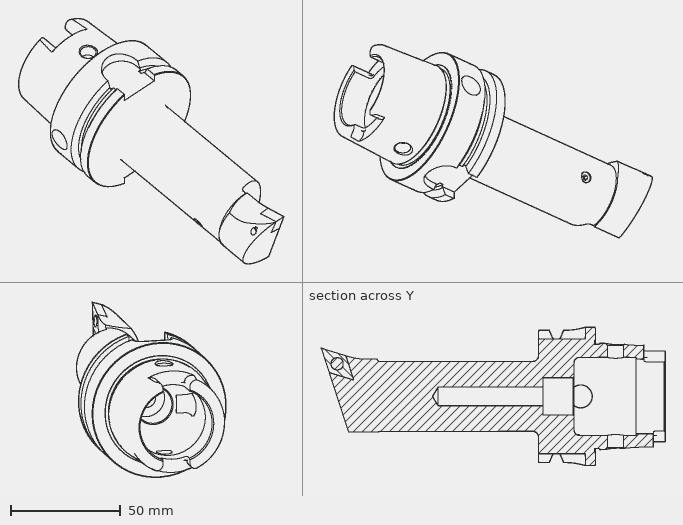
import cadquery as cq
import math

LENGTH = 156.9

TAPER_R_REAR = 22.9
TAPER_R_FRONT = 24.3
TAPER_END_X = 29.8
REAR_ROUND = 1.3
NECK_R = 23.8
FACE_RELIEF_R = 25.4
FACE_RELIEF_DEPTH = 0.5

FLANGE_X = 31.9
FLANGE_END_X = 57.9
FLANGE_R = 31.5
FLANGE_EDGE = 0.3
GROOVE_X = 46.5
GROOVE_WIDTH = 6.5
GROOVE_FLANK = 1.4
GROOVE_FLANK_R = 28.2
GROOVE_FLOOR_INSET = 2.4
GROOVE_FLOOR_R = 27.3
KEYWAY_R = 9.1
KEYWAY_CENTRE_X = 45.7
KEYWAY_FLOOR = 26.2

BAR_R = 16.0
BAR_END_X = 130.4
BAR_BLEND_R = 2.5

MOUTH_R = 17.0
MOUTH_CHAMFER = 0.6
MOUTH_LENGTH = 13.3
BORE_R = 17.7
BORE_END_X = 41.6
BORE_CORNER_R = 2.4
TAPPED_R = 8.5
TAPPED_CHAMFER = 0.5
TAPPED_DEPTH = 14.1
COOLANT_R = 4.2
COOLANT_END_X = 103.5
COOLANT_TIP_LENGTH = 2.5
OUTLET_R = 1.1
OUTLET_ANGLE = 18.0
OUTLET_LENGTH = 31.4

SLOT_HALF_WIDTH = 6.3
SLOT_FLARE_HALF_WIDTH = 9.3
SLOT_FLARE_END = 20.7
SLOT_RELIEF_HALF_WIDTH = 11.8
SLOT_CORNER_R = 1.4
SLOT_DEPTH_TOP = 9.9
SLOT_DEPTH_BOTTOM = 5.5

CROSS_HOLE_X = 22.8
CROSS_HOLE_R = 3.6
CROSS_HOLE_CHAMFER = 0.8
ACCESS_HOLE_X = 38.6
ACCESS_HOLE_R = 5.2
ACCESS_HOLE_FLOOR = 10.5

HEAD_UPPER_R = 20.7
HEAD_LOWER_R = 16.5
HEAD_SIDE = 16.5
HEAD_FLAT_TOP = 2.0
HEAD_FLAT_BOTTOM = 0.2
HEAD_TOP = 17.1
HEAD_BEND_X = 140.6
HEAD_BEND_R = 26.7
TIP_RISE_ANGLE = 17.0
INSERT_ANGLE = 55.0
TOP_CLEARANCE_ANGLE = 12.5
END_CLEARANCE_ANGLE = 6.7
HEAD_DEPTH_ABOVE_TIP = 3.1
TIP_Z = HEAD_TOP + (LENGTH - HEAD_BEND_X) * math.tan(math.radians(TIP_RISE_ANGLE))
END_ANGLE = TIP_RISE_ANGLE + INSERT_ANGLE

RAKE_TILT_ANGLE = 2.8
GULLET_FOOT_X = 127.4
GULLET_WALL_ANGLE = 16.5
GULLET_CORNER_R = 2.4

INSERT_SIDE = 11.6
INSERT_THICKNESS = 4.1
SCREW_R = 1.4
SCREW_HEAD_R = 2.7
SCREW_HEAD_HEIGHT = 1.9
SCREW_LENGTH = 10.2

SET_SCREW_X = 114.5
SET_SCREW_ANGLE = 22.5
SET_SCREW_R = 2.5
SET_SCREW_DEPTH = 6.3
SET_SCREW_RECESS = 0.8
SET_SCREW_HEX = 2.5
SET_SCREW_HEX_DEPTH = 2.4

CLEAR = 47.0


def revolve_about_x(profile):
    """Revolve a closed profile drawn as (x, radius) about the X axis."""
    return profile.close().revolve(360, (0, 0, 0), (1, 0, 0))


def oblique_prism(outline, direction):
    """Sweep a closed planar outline in a straight line along the given vector."""
    return cq.Workplane(cq.Solid.extrudeLinear(outline.val(), [], cq.Vector(*direction)))


def at_x(x, y=0.0, z=0.0):
    """Workplane facing +X whose local axes are Y and Z."""
    return cq.Workplane("YZ", origin=(x, y, z))


def turned_body():
    groove_end = GROOVE_X + GROOVE_WIDTH
    profile = (
        cq.Workplane("XY")
        .moveTo(0, 0)
        .lineTo(0, TAPER_R_REAR - REAR_ROUND)
        .radiusArc((REAR_ROUND, TAPER_R_REAR), REAR_ROUND)
        .lineTo(TAPER_END_X, TAPER_R_FRONT)
        .lineTo(TAPER_END_X + FACE_RELIEF_DEPTH, NECK_R)
        .lineTo(FLANGE_X + FACE_RELIEF_DEPTH, NECK_R)
        .lineTo(FLANGE_X + FACE_RELIEF_DEPTH, FACE_RELIEF_R)
        .lineTo(FLANGE_X, FACE_RELIEF_R)
        .lineTo(FLANGE_X, FLANGE_R - FLANGE_EDGE)
        .lineTo(FLANGE_X + FLANGE_EDGE, FLANGE_R)
        .lineTo(GROOVE_X, FLANGE_R)
        .lineTo(GROOVE_X + GROOVE_FLANK, GROOVE_FLANK_R)
        .lineTo(GROOVE_X + GROOVE_FLOOR_INSET, GROOVE_FLOOR_R)
        .lineTo(groove_end - GROOVE_FLOOR_INSET, GROOVE_FLOOR_R)
        .lineTo(groove_end - GROOVE_FLANK, GROOVE_FLANK_R)
        .lineTo(groove_end, FLANGE_R)
        .lineTo(FLANGE_END_X - FLANGE_EDGE, FLANGE_R)
        .lineTo(FLANGE_END_X, FLANGE_R - FLANGE_EDGE)
        .lineTo(FLANGE_END_X, BAR_R + BAR_BLEND_R)
        .radiusArc((FLANGE_END_X + BAR_BLEND_R, BAR_R), -BAR_BLEND_R)
        .lineTo(BAR_END_X, BAR_R)
        .lineTo(BAR_END_X, 0)
    )
    return revolve_about_x(profile)


def bore():
    tapped_end = BORE_END_X + TAPPED_DEPTH
    profile = (
        cq.Workplane("XY")
        .moveTo(0, 0)
        .lineTo(0, MOUTH_R + MOUTH_CHAMFER)
        .lineTo(MOUTH_CHAMFER, MOUTH_R)
        .lineTo(MOUTH_LENGTH, MOUTH_R)
        .lineTo(MOUTH_LENGTH, BORE_R)
        .lineTo(BORE_END_X - BORE_CORNER_R, BORE_R)
        .radiusArc((BORE_END_X, BORE_R - BORE_CORNER_R), BORE_CORNER_R)
        .lineTo(BORE_END_X, TAPPED_R + TAPPED_CHAMFER)
        .lineTo(BORE_END_X + TAPPED_CHAMFER, TAPPED_R)
        .lineTo(tapped_end, TAPPED_R)
        .lineTo(tapped_end, COOLANT_R)
        .lineTo(COOLANT_END_X, COOLANT_R)
        .lineTo(COOLANT_END_X + COOLANT_TIP_LENGTH, 0)
    )
    return revolve_about_x(profile)


def coolant_outlet():
    """Small angled hole from the tip of the coolant passage to the gullet."""
    angle = math.radians(OUTLET_ANGLE)
    axis = cq.Vector(math.cos(angle), math.sin(angle), 0)
    start = cq.Vector(COOLANT_END_X, OUTLET_R, 0)
    return cq.Workplane(cq.Solid.makeCylinder(OUTLET_R, OUTLET_LENGTH, start, axis))


def drive_slot(depth, side):
    """Rear slot with rounded bottom corners and rounded-off outer edges; side is +1 or -1 in Z."""
    flare_r = SLOT_FLARE_HALF_WIDTH - SLOT_HALF_WIDTH
    flare_start = SLOT_FLARE_END - flare_r
    channel = (
        cq.Workplane("XY")
        .rect(2 * depth, 2 * SLOT_HALF_WIDTH)
        .extrude(side * CLEAR)
        .edges("|Z and >X")
        .fillet(SLOT_CORNER_R)
    )
    flare = (
        at_x(0)
        .moveTo(-SLOT_HALF_WIDTH, side * flare_start)
        .radiusArc((-SLOT_FLARE_HALF_WIDTH, side * SLOT_FLARE_END), -side * flare_r)
        .lineTo(-SLOT_RELIEF_HALF_WIDTH, side * SLOT_FLARE_END)
        .lineTo(-SLOT_RELIEF_HALF_WIDTH, side * CLEAR)
        .lineTo(SLOT_RELIEF_HALF_WIDTH, side * CLEAR)
        .lineTo(SLOT_RELIEF_HALF_WIDTH, side * SLOT_FLARE_END)
        .lineTo(SLOT_FLARE_HALF_WIDTH, side * SLOT_FLARE_END)
        .radiusArc((SLOT_HALF_WIDTH, side * flare_start), -side * flare_r)
        .close()
        .extrude(depth)
    )
    return channel.union(flare)


def keyway(side):
    """Round-ended flat across the flange; side is +1 or -1 in Z."""
    return (
        cq.Workplane("XY", origin=(0, 0, side * KEYWAY_FLOOR))
        .moveTo(FLANGE_END_X, -KEYWAY_R)
        .lineTo(KEYWAY_CENTRE_X, -KEYWAY_R)
        .threePointArc((KEYWAY_CENTRE_X - KEYWAY_R, 0), (KEYWAY_CENTRE_X, KEYWAY_R))
        .lineTo(FLANGE_END_X, KEYWAY_R)
        .close()
        .extrude(side * CLEAR)
    )


def cross_hole():
    """Hole through both walls of the taper, with countersunk outer edges."""
    hole = cq.Workplane("XY", origin=(CROSS_HOLE_X, 0, -CLEAR)).circle(CROSS_HOLE_R).extrude(2 * CLEAR)
    surface_r = TAPER_R_REAR + (TAPER_R_FRONT - TAPER_R_REAR) * CROSS_HOLE_X / TAPER_END_X
    for side in (1, -1):
        cone = cq.Solid.makeCone(
            CROSS_HOLE_R,
            CROSS_HOLE_R + 2 * CROSS_HOLE_CHAMFER,
            2 * CROSS_HOLE_CHAMFER,
            cq.Vector(CROSS_HOLE_X, 0, side * (surface_r - CROSS_HOLE_CHAMFER)),
            cq.Vector(0, 0, side),
        )
        hole = hole.union(cq.Workplane(cone))
    return hole


def access_hole():
    return (
        cq.Workplane("XZ", origin=(ACCESS_HOLE_X, -ACCESS_HOLE_FLOOR, 0))
        .circle(ACCESS_HOLE_R)
        .extrude(CLEAR)
    )


def head_section():
    """Cross-section of the head: two side arcs joined by a short flat, run along X."""
    upper_y = HEAD_UPPER_R - HEAD_SIDE
    lower_y = HEAD_LOWER_R - HEAD_SIDE
    diagonal = math.sqrt(0.5)
    return (
        at_x(BAR_END_X)
        .moveTo(upper_y, HEAD_FLAT_TOP + HEAD_UPPER_R)
        .threePointArc(
            (upper_y - diagonal * HEAD_UPPER_R, HEAD_FLAT_TOP + diagonal * HEAD_UPPER_R),
            (-HEAD_SIDE, HEAD_FLAT_TOP),
        )
        .lineTo(-HEAD_SIDE, HEAD_FLAT_BOTTOM)
        .threePointArc(
            (lower_y - diagonal * HEAD_LOWER_R, HEAD_FLAT_BOTTOM - diagonal * HEAD_LOWER_R),
            (lower_y, HEAD_FLAT_BOTTOM - HEAD_LOWER_R),
        )
        .lineTo(upper_y, HEAD_FLAT_BOTTOM - HEAD_LOWER_R)
        .close()
        .extrude(LENGTH - BAR_END_X)
    )


def head_shoulder_cone():
    """45 degree cone that blends the bar into the wider head."""
    head_length = LENGTH - BAR_END_X
    return cq.Workplane(
        cq.Solid.makeCone(
            BAR_R, BAR_R + head_length, head_length, cq.Vector(BAR_END_X, 0, 0), cq.Vector(1, 0, 0)
        )
    )


def head_side_outline():
    """XZ outline of the head: bent top edge rising to the tip, open towards the end."""
    rise = math.radians(TIP_RISE_ANGLE)
    tangent = HEAD_BEND_R * math.tan(rise / 2)
    bend_end = (HEAD_BEND_X + tangent * math.cos(rise), HEAD_TOP + tangent * math.sin(rise))
    return (
        cq.Workplane("XZ")
        .moveTo(BAR_END_X, -CLEAR)
        .lineTo(BAR_END_X, HEAD_TOP)
        .lineTo(HEAD_BEND_X - tangent, HEAD_TOP)
        .radiusArc(bend_end, -HEAD_BEND_R)
        .lineTo(LENGTH, TIP_Z)
        .lineTo(LENGTH, -CLEAR)
        .close()
    )


def head_end_outline():
    """XZ outline of everything behind the slanted end face."""
    run = (TIP_Z + CLEAR) / math.tan(math.radians(END_ANGLE))
    return (
        cq.Workplane("XZ")
        .moveTo(LENGTH, TIP_Z)
        .lineTo(LENGTH - run, -CLEAR)
        .lineTo(BAR_END_X - CLEAR, -CLEAR)
        .lineTo(BAR_END_X - CLEAR, TIP_Z)
        .close()
    )


def gullet():
    """Chip space on the +Y side; its floor is the rake plane, tilted about X through the cutting tip."""
    wall_top_x = GULLET_FOOT_X - CLEAR * math.tan(math.radians(GULLET_WALL_ANGLE))
    outline = (
        cq.Workplane("XY", origin=(0, 0, TIP_Z))
        .moveTo(wall_top_x, CLEAR)
        .lineTo(GULLET_FOOT_X, 0)
        .lineTo(LENGTH, 0)
        .lineTo(LENGTH, CLEAR)
        .close()
    )
    depth = TIP_Z + CLEAR
    space = oblique_prism(outline, (0, depth * math.tan(math.radians(RAKE_TILT_ANGLE)), -depth))
    foot_edge = cq.selectors.NearestToPointSelector((GULLET_FOOT_X, 0, 0))
    return space.edges(foot_edge).fillet(GULLET_CORNER_R)


def head_blank():
    """Head with its clearances and rake face, before the insert seat is cut."""
    top_drop = CLEAR * math.tan(math.radians(TOP_CLEARANCE_ANGLE))
    end_setback = CLEAR * math.tan(math.radians(END_CLEARANCE_ANGLE))
    below = oblique_prism(head_side_outline(), (0, -CLEAR, -top_drop))
    below = below.intersect(oblique_prism(head_end_outline(), (-end_setback, -CLEAR, 0)))
    above = oblique_prism(head_side_outline(), (0, HEAD_DEPTH_ABOVE_TIP, 0))
    above = above.intersect(oblique_prism(head_end_outline(), (0, HEAD_DEPTH_ABOVE_TIP, 0)))
    head = head_section().intersect(head_shoulder_cone()).intersect(below.union(above))
    return head.cut(gullet())


def insert_corners():
    """XZ corners of the rhombic insert, starting at the cutting tip."""
    rise = math.radians(TIP_RISE_ANGLE)
    end = math.radians(END_ANGLE)
    back_x, back_z = INSERT_SIDE * math.cos(rise), INSERT_SIDE * math.sin(rise)
    down_x, down_z = INSERT_SIDE * math.cos(end), INSERT_SIDE * math.sin(end)
    return [
        (LENGTH, TIP_Z),
        (LENGTH - back_x, TIP_Z - back_z),
        (LENGTH - back_x - down_x, TIP_Z - back_z - down_z),
        (LENGTH - down_x, TIP_Z - down_z),
    ]


def insert_column():
    """Rhombic prism from the insert seat out past the rake face."""
    return (
        cq.Workplane("XZ", origin=(0, -INSERT_THICKNESS, 0))
        .polyline(insert_corners())
        .close()
        .extrude(-INSERT_THICKNESS - HEAD_DEPTH_ABOVE_TIP)
    )


def insert_centre():
    tip, _, opposite, _ = insert_corners()
    return (tip[0] + opposite[0]) / 2, (tip[1] + opposite[1]) / 2


def make_insert_screw():
    """Countersunk screw trimmed flush with the rake face."""
    x, z = insert_centre()
    axis = cq.Workplane("XZ", origin=(x, 0, z))
    countersink = cq.Solid.makeCone(
        SCREW_HEAD_R, SCREW_R, SCREW_HEAD_HEIGHT, cq.Vector(x, 0, z), cq.Vector(0, -1, 0)
    )
    head = axis.circle(SCREW_HEAD_R).extrude(-HEAD_DEPTH_ABOVE_TIP)
    stem = axis.circle(SCREW_R).extrude(SCREW_LENGTH)
    return stem.union(cq.Workplane(countersink)).union(head).cut(gullet())


def insert_screw_hole():
    x, z = insert_centre()
    return cq.Workplane("XZ", origin=(x, 0, z)).circle(SCREW_R).extrude(CLEAR)


def make_insert():
    return insert_column().intersect(head_blank()).cut(make_insert_screw())


def set_screw_plane(depth):
    """Workplane in the radial set screw hole at a depth below the bar surface, facing outwards."""
    angle = math.radians(SET_SCREW_ANGLE)
    outward = cq.Vector(0, -math.cos(angle), -math.sin(angle))
    origin = cq.Vector(SET_SCREW_X, 0, 0) + outward * (BAR_R - depth)
    return cq.Workplane(cq.Plane(origin=origin, xDir=(1, 0, 0), normal=outward))


def set_screw_hole():
    return set_screw_plane(SET_SCREW_DEPTH).circle(SET_SCREW_R).extrude(2 * SET_SCREW_DEPTH)


def make_set_screw():
    screw = set_screw_plane(SET_SCREW_DEPTH).circle(SET_SCREW_R).extrude(SET_SCREW_DEPTH - SET_SCREW_RECESS)
    socket_floor = SET_SCREW_RECESS + SET_SCREW_HEX_DEPTH
    socket = set_screw_plane(socket_floor).polygon(6, SET_SCREW_HEX).extrude(SET_SCREW_HEX_DEPTH)
    return screw.cut(socket)


def make_holder():
    holder = turned_body().union(head_blank()).cut(gullet())
    holder = holder.cut(bore()).cut(coolant_outlet())
    holder = holder.cut(drive_slot(SLOT_DEPTH_TOP, 1)).cut(drive_slot(SLOT_DEPTH_BOTTOM, -1))
    for side in (1, -1):
        holder = holder.cut(keyway(side))
    holder = holder.cut(cross_hole()).cut(access_hole())
    holder = holder.cut(insert_column()).cut(insert_screw_hole())
    return holder.cut(set_screw_hole())


holder = make_holder()
insert = make_insert()
insert_screw = make_insert_screw()
set_screw = make_set_screw()

result = cq.Compound.makeCompound([body.solids().val() for body in (holder, insert, insert_screw, set_screw)])